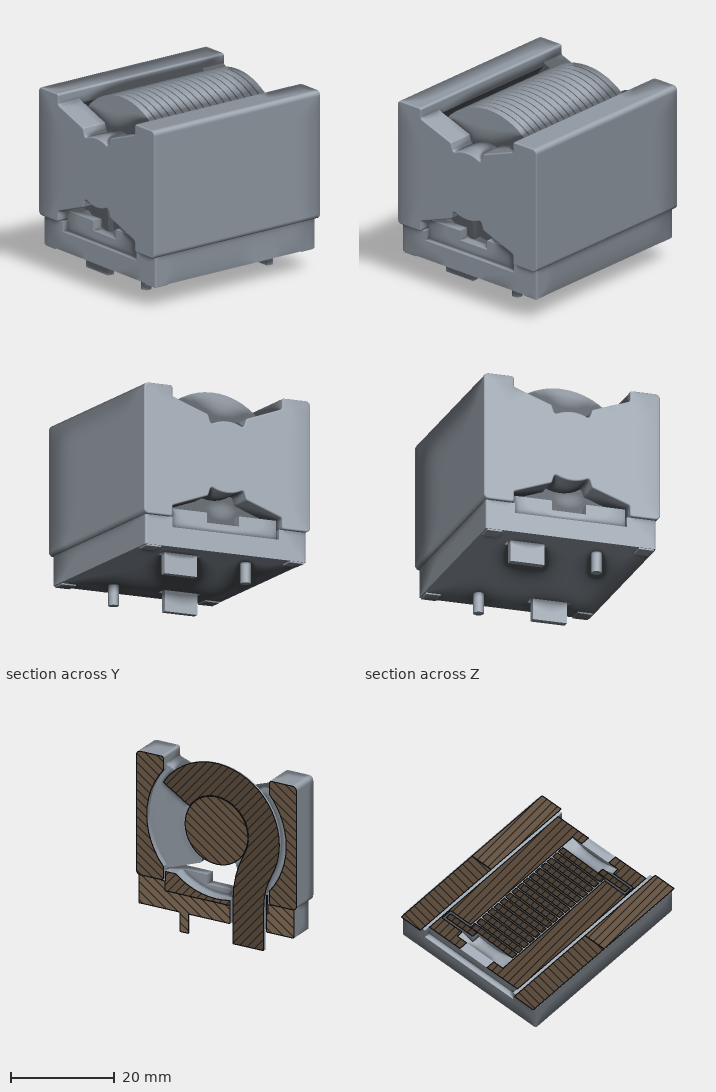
import cadquery as cq
import math


core_width = 36.0
core_height = 26.0
core_length = 41.0
end_wall = 5.4
cavity_radius = 15.6
leg_inner_x = 11.85
leg_corner_radius = 1.0
inner_corner_radius = 0.5
end_edge_radius = 0.3

shoulder_z = 10.83
throat_top_x = 4.15
throat_top_z = 8.08
throat_bottom_x = 3.53

coil_bore_radius = 7.15
post_clearance = 0.05
wire_width = 7.0
wire_thickness = 1.4
coil_turns = 16.5
lead_x = 7.15
lead_y = 13.95
lead_bend_radius = 18.45
lead_bottom_z = -22.95

base_width = 34.78
base_length = 39.45
base_bottom_z = -18.9
base_corner_radius = 0.35
foot_size = 3.05
foot_height = 0.3
foot_inset_x = 0.35
foot_inset_y = 0.15
pin_x = 7.2
pin_radius = 1.03

saddle_width = 22.95
saddle_length = 37.07
saddle_bottom_z = -15.0
saddle_top_z = -11.0
trough_radius = 14.27
cheek_thickness = 2.0
notch_width = 6.97
slot_clearance = 0.5

core_top_z = core_height / 2
base_top_z = -core_top_z
cavity_half_length = core_length / 2 - end_wall
post_radius = coil_bore_radius - post_clearance
coil_radius = coil_bore_radius + wire_width
wire_mid_radius = coil_bore_radius + wire_width / 2
throat_bottom_z = math.sqrt(coil_bore_radius**2 - throat_bottom_x**2)
half_turn = 180


def cylinder_along_y(radius, y_start, y_end):
    return cq.Workplane("XZ", origin=(0, y_end, 0)).circle(radius).extrude(y_end - y_start)


def centered_block(width, length, z_bottom, z_top, x=0, y=0):
    return cq.Workplane("XY", origin=(x, y, z_bottom)).rect(width, length).extrude(z_top - z_bottom)


def turned_half(shape):
    return shape.rotate((0, 0, 0), (0, 0, 1), half_turn)



def rounded_bar():
    """The outer block of one half, before anything is cut from it."""
    return (
        cq.Workplane("XZ")
        .rect(core_width, core_height)
        .extrude(core_length / 2)
        .edges("|Y")
        .fillet(leg_corner_radius)
    )


def end_opening():
    """The opening above the post, as long as one half; its crest matches the coil bore."""
    above_core = core_top_z + 0.4
    return (
        cq.Workplane("XZ")
        .moveTo(-leg_inner_x, above_core)
        .lineTo(-leg_inner_x, shoulder_z)
        .lineTo(-throat_top_x, throat_top_z)
        .lineTo(-throat_bottom_x, throat_bottom_z)
        .threePointArc((0, coil_bore_radius), (throat_bottom_x, throat_bottom_z))
        .lineTo(throat_top_x, throat_top_z)
        .lineTo(leg_inner_x, shoulder_z)
        .lineTo(leg_inner_x, above_core)
        .close()
        .extrude(core_length / 2)
    )


def legs_and_end_wall():
    """Two legs with a wall across them, rounded along all the opening edges."""
    opening = end_opening()
    corner = (leg_inner_x + 0.4, core_length, core_height)
    opening_edges = cq.selectors.BoxSelector(tuple(-side for side in corner), corner)
    body = rounded_bar().cut(opening).cut(opening.mirror("XY"))
    body = body.edges("|Y").edges(opening_edges).fillet(inner_corner_radius)
    return body.faces("<Y").edges().fillet(end_edge_radius)


def core_half():
    """The half on the -Y side."""
    window = centered_block(
        2 * leg_inner_x, cavity_half_length, -core_height, core_height, 0, -cavity_half_length / 2
    )
    barrel = cylinder_along_y(cavity_radius, -cavity_half_length, 0)
    post = cylinder_along_y(post_radius, -cavity_half_length, 0)
    return legs_and_end_wall().cut(window).cut(barrel).union(post)



def winding():
    """The helical turns, from the -X side at -Y to the +X side at +Y."""
    path = cq.Wire.makeHelix(2 * lead_y / coil_turns, 2 * lead_y, wire_mid_radius)
    turns = (
        cq.Workplane("XZ", origin=(wire_mid_radius, 0, 0))
        .rect(wire_width, wire_thickness)
        .sweep(cq.Workplane(obj=path), isFrenet=True)
    )
    return (
        turns.translate((0, 0, -lead_y))
        .rotate((0, 0, 0), (1, 0, 0), -90)
        .rotate((0, 0, 0), (0, 1, 0), half_turn)
    )


def lead():
    """The lead at -Y: it follows the coil, bends back to vertical and runs down."""
    bend_x = -lead_x - lead_bend_radius
    bend_angle = math.acos(-bend_x / (wire_mid_radius + lead_bend_radius))
    bend_z = -(wire_mid_radius + lead_bend_radius) * math.sin(bend_angle)

    def on_coil(radius, angle):
        return (-radius * math.cos(angle), -radius * math.sin(angle))

    def on_bend(radius, angle):
        return (bend_x + radius * math.cos(angle), bend_z + radius * math.sin(angle))

    near_radius = lead_bend_radius - wire_width / 2
    far_radius = lead_bend_radius + wire_width / 2
    mid_angle = bend_angle / 2
    return (
        cq.Workplane("XZ", origin=(0, -lead_y + wire_thickness / 2, 0))
        .moveTo(*on_coil(coil_radius, 0))
        .threePointArc(on_coil(coil_radius, mid_angle), on_coil(coil_radius, bend_angle))
        .threePointArc(on_bend(near_radius, mid_angle), on_bend(near_radius, 0))
        .lineTo(-lead_x - wire_width / 2, lead_bottom_z)
        .lineTo(-lead_x + wire_width / 2, lead_bottom_z)
        .lineTo(*on_bend(far_radius, 0))
        .threePointArc(on_bend(far_radius, mid_angle), on_bend(far_radius, bend_angle))
        .threePointArc(on_coil(coil_bore_radius, mid_angle), on_coil(coil_bore_radius, 0))
        .close()
        .extrude(wire_thickness)
    )


def coil_with_leads():
    """One solid: the turns joined to both leads where their end faces meet."""
    first_lead = lead().faces("not >Z")
    skin = winding().faces("not %PLANE").vals() + first_lead.vals() + turned_half(first_lead).vals()
    return cq.Workplane(cq.Solid.makeSolid(cq.Shell.makeShell(skin)))



def lead_slots():
    """Clearance slots for both leads, through the saddle and the base."""
    slot = centered_block(
        wire_width + 2 * slot_clearance,
        wire_thickness + 2 * slot_clearance,
        base_bottom_z,
        saddle_top_z,
        -lead_x,
        -lead_y,
    )
    return slot.union(turned_half(slot))


def base():
    """A block with a channel for the saddle, four feet and two round pins."""
    body = (
        centered_block(base_width, base_length, base_bottom_z, base_top_z)
        .edges("|Z")
        .fillet(base_corner_radius)
        .cut(centered_block(saddle_width, base_length, saddle_bottom_z, base_top_z))
        .cut(lead_slots())
    )
    foot_x = base_width / 2 - foot_inset_x - foot_size / 2
    foot_y = base_length / 2 - foot_inset_y - foot_size / 2
    for x in (-foot_x, foot_x):
        for y in (-foot_y, foot_y):
            body = body.union(
                centered_block(foot_size, foot_size, base_bottom_z - foot_height, base_bottom_z, x, y)
            )
    for side in (-1, 1):
        pin = cq.Workplane("XY", origin=(side * pin_x, -side * lead_y, lead_bottom_z))
        body = body.union(pin.circle(pin_radius).extrude(base_bottom_z - lead_bottom_z))
    return body


def saddle():
    """A block with a trough for the coil between two notched cheeks."""
    trough_half_length = saddle_length / 2 - cheek_thickness
    return (
        centered_block(saddle_width, saddle_length, saddle_bottom_z, saddle_top_z)
        .cut(cylinder_along_y(trough_radius, -trough_half_length, trough_half_length))
        .cut(centered_block(notch_width, saddle_length, base_top_z, saddle_top_z))
        .cut(lead_slots())
    )


front_core = core_half()
back_core = turned_half(front_core)
coil = coil_with_leads()
pinned_base = base()
coil_saddle = saddle()

result = cq.Compound.makeCompound(
    [front_core.val(), back_core.val(), coil.val(), pinned_base.val(), coil_saddle.val()]
)